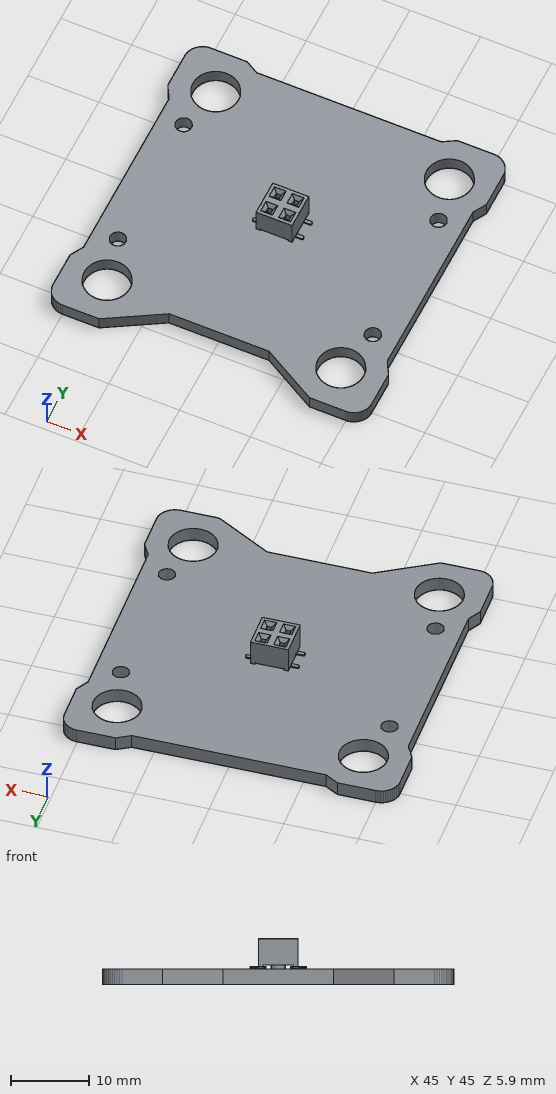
import cadquery as cq
import math

board_size = 45.0
board_thickness = 2.0
corner_radius = 2.5
corner_facets = 12
tab_length = 7.65
side_inset = 1.05
front_inset = 4.5
flank_angle = 30.0

mount_hole_diameter = 6.4
mount_hole_pitch = 33.0
small_hole_diameter = 2.2
small_hole_pitch_x = 36.0
small_hole_pitch_y = 20.0

pitch = 2.54
connector_y = pitch / 2
socket_count = 2
housing_size = socket_count * pitch
overall_height = 5.9
standoff = 0.3
housing_bottom = board_thickness + standoff
housing_height = overall_height - housing_bottom
funnel_width = 1.65
funnel_depth = 0.5
socket_width = funnel_width - 2 * funnel_depth
socket_depth = 2.0
groove_width = 3.9
groove_depth = 0.2
foot_diameter = 1.8

contact_width = 0.5
contact_thickness = 0.2
contact_inner_x = 1.55
contact_outer_x = 3.6
contact_tip_chamfer = 0.15


def corner_points(half):
    """Points of the faceted front right corner, from the front edge round to the right edge."""
    centre = half - corner_radius
    step = math.radians(90 / corner_facets)
    points = []
    for i in range(corner_facets + 1):
        x = centre + corner_radius * math.sin(i * step)
        y = centre + corner_radius * math.cos(i * step)
        points.append((x, -y))
    return points


def make_board():
    half = board_size / 2
    tab_end = half - tab_length
    run_per_inset = 1 / math.tan(math.radians(flank_angle))
    side_end = tab_end - side_inset * run_per_inset
    front_end = tab_end - front_inset * run_per_inset
    side_edge = half - side_inset
    front_edge = half - front_inset

    front_corner = corner_points(half)
    rear_corner = [(x, -y) for x, y in reversed(front_corner)]
    right_half = [
        (front_end, -front_edge),
        (tab_end, -half),
        *front_corner,
        (half, -tab_end),
        (side_edge, -side_end),
        (side_edge, side_end),
        (half, tab_end),
        *rear_corner,
        (tab_end, half),
        (side_end, side_edge),
    ]
    left_half = [(-x, y) for x, y in reversed(right_half)]
    board = cq.Workplane("XY").polyline(right_half + left_half).close().extrude(board_thickness)

    top = board.faces(">Z").workplane(origin=(0, 0, board_thickness))
    board = top.rarray(mount_hole_pitch, mount_hole_pitch, 2, 2).hole(mount_hole_diameter)
    top = board.faces(">Z").workplane(origin=(0, 0, board_thickness))
    return top.rarray(small_hole_pitch_x, small_hole_pitch_y, 2, 2).hole(small_hole_diameter)


def socket_positions():
    return [(x * pitch / 2, y * pitch / 2) for x in (-1, 1) for y in (-1, 1)]


def make_housing():
    base = cq.Workplane("XY", origin=(0, connector_y, housing_bottom))
    housing = base.rect(housing_size, housing_size).extrude(housing_height)

    housing = housing.cut(base.rect(groove_width, housing_size).extrude(groove_depth))

    foot = cq.Workplane("XY", origin=(0, connector_y, board_thickness))
    foot = foot.circle(foot_diameter / 2).extrude(standoff + groove_depth)
    housing = housing.union(foot)

    rim = cq.Workplane("XY", origin=(0, connector_y, overall_height))
    for x, y in socket_positions():
        funnel = (
            rim.center(x, y)
            .rect(funnel_width, funnel_width)
            .workplane(offset=-funnel_depth)
            .rect(socket_width, socket_width)
            .loft(ruled=True)
        )
        socket = rim.center(x, y).rect(socket_width, socket_width).extrude(-funnel_depth - socket_depth)
        housing = housing.cut(funnel).cut(socket)
    return housing


def make_contact(side, y):
    """Flat contact under the housing, just clear of the board, pointing to +X (side 1) or -X (side -1)."""
    length = contact_outer_x - contact_inner_x
    middle = side * (contact_inner_x + contact_outer_x) / 2
    contact = (
        cq.Workplane("XY", origin=(middle, connector_y + y, housing_bottom))
        .rect(length, contact_width)
        .extrude(-contact_thickness)
    )
    tip = ">X" if side > 0 else "<X"
    return contact.faces(tip).edges("|Z").chamfer(contact_tip_chamfer)


board = make_board()
housing = make_housing()
contacts = [make_contact(side, y * pitch / 2) for side in (-1, 1) for y in (-1, 1)]

result = cq.Compound.makeCompound(
    [board.val(), housing.val(), *[contact.val() for contact in contacts]]
)